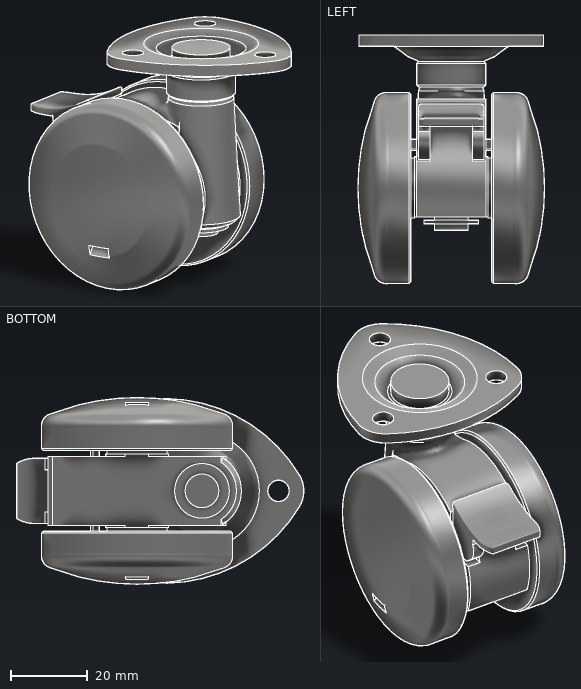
import cadquery as cq
import math


total_height = 65.0
wheel_radius = 25.0
wheel_x = -17.0
wheel_z = wheel_radius

plate_thickness = 3.0
plate_bottom = total_height - plate_thickness
corner_radius = 8.0
corner_distance = 18.65
side_distance = 21.5
hole_circle_radius = 20.0
hole_diameter = 5.5
dish_top_radius = 15.0
dish_bend_radius = 11.75
dish_bend_depth = 1.2
dish_bend_z = total_height - dish_bend_depth
dish_floor_radius = 8.4
dish_floor_z = 60.8
underside_bend_radius = 11.3
underside_bend_z = 59.3
collar_radius = 9.05
collar_top = 58.1
collar_bottom = 51.4
collar_chamfer = 0.5

stem_head_radius = 7.6
stem_recess = 1.0
stem_top = total_height - stem_recess
shaft_radius = 4.4
stem_bottom = 13.9
ring_radius = 7.15
ring_bottom = 15.65
ring_thickness = 0.95

housing_half_width = 9.05
barrel_radius = 23.3
housing_bottom = 17.4
neck_radius = 8.6
neck_top_radius = 8.2
neck_taper_height = 1.0
neck_taper_bottom = collar_bottom - neck_taper_height
boss_foot_radius = 10.3
boss_foot_chamfer = 1.3
boss_blend = 2.6
blend_end_x = -1.0
hub_radius = 8.2
hub_end = 9.6
bar_x = -28.0
bar_z = 36.3
bar_width = 3.1
bar_thickness = 0.74
bar_tilt = 57.0

wheel_inner_y = 10.55
wheel_hub_radius = 7.9
rim_chamfer = 0.5
rim_flat_end_y = 16.4
cone_edge_radius = 22.45
cone_edge_y = 20.2
wheel_outer_y = 24.415
cap_radius = 15.1
cap_edge_y = 22.55
notch_width = 6.0
notch_inner_radius = 12.4
notch_depth = 1.8

lever_tip_x = -48.45
lever_back_x = -29.8
lever_half_width = 8.55
lever_tip_half_width = 7.2
lever_taper_length = 4.3
lever_corner_radius = 1.0
lever_taper_mid = 1.7
lever_taper_mid_inset = 0.5
lever_edge_round = 0.4
tip_top_z = 43.3
tip_bottom_z = 41.1
back_top_z = 47.15
back_bottom_z = 45.3
pedal_top_mid = (-38.0, 43.8)
pedal_ridge = (-30.4, 46.95)
pedal_under_mid = (-35.2, 42.6)
leg_front_x = -40.8
leg_throat = (-40.5, 39.8)
leg_bulge = (-41.0, 37.4)
leg_flank = (-40.0, 34.8)
leg_toe_x = -37.3
leg_overlap = 0.5
leg_inner_y = 5.5
leg_bottom_z = 32.5
leg_back_x = -30.6
slot_floor_z = 32.0
slot_back_x = -30.3


def polar(radius, degrees):
    """Point in the XY plane at a distance and direction from the stem axis."""
    angle = math.radians(degrees)
    return (radius * math.cos(angle), radius * math.sin(angle))


def plate_outline():
    """Three round corners joined by three bowed sides, all tangent."""
    gap = side_distance - corner_radius
    side_centre = (gap**2 - corner_distance**2) / (corner_distance - 2 * gap)
    side_radius = side_distance + side_centre
    side_half_angle = math.degrees(
        math.asin(corner_distance * math.sin(math.pi / 3) / (side_radius - corner_radius))
    )
    corner_half_angle = 60 - side_half_angle

    def corner_point(direction, offset):
        centre = polar(corner_distance, direction)
        rim = polar(corner_radius, direction + offset)
        return (centre[0] + rim[0], centre[1] + rim[1])

    outline = cq.Workplane("XY", origin=(0, 0, plate_bottom))
    outline = outline.moveTo(*corner_point(0, -corner_half_angle))
    for direction in (0, 120, 240):
        outline = outline.threePointArc(
            corner_point(direction, 0), corner_point(direction, corner_half_angle)
        )
        outline = outline.threePointArc(
            polar(side_distance, direction + 60),
            corner_point(direction + 120, -corner_half_angle),
        )
    return outline.close()


def make_plate():
    """Plate with a sunken dish and the collar below it."""
    flange = plate_outline().extrude(plate_thickness)
    dish = (
        cq.Workplane("XZ")
        .moveTo(0, plate_bottom)
        .lineTo(dish_top_radius, plate_bottom)
        .lineTo(underside_bend_radius, underside_bend_z)
        .lineTo(collar_radius - collar_chamfer, collar_top)
        .lineTo(collar_radius, collar_top - collar_chamfer)
        .lineTo(collar_radius, collar_bottom + collar_chamfer)
        .lineTo(collar_radius - collar_chamfer, collar_bottom)
        .lineTo(0, collar_bottom)
        .close()
        .revolve(360, (0, 0, 0), (0, 1, 0))
    )
    hollow = (
        cq.Workplane("XZ")
        .moveTo(0, total_height)
        .lineTo(dish_top_radius, total_height)
        .lineTo(dish_bend_radius, dish_bend_z)
        .lineTo(dish_floor_radius, dish_floor_z)
        .lineTo(shaft_radius, dish_floor_z)
        .lineTo(shaft_radius, collar_bottom)
        .lineTo(0, collar_bottom)
        .close()
        .revolve(360, (0, 0, 0), (0, 1, 0))
    )
    holes = (
        cq.Workplane("XY", origin=(0, 0, plate_bottom))
        .polarArray(hole_circle_radius, 0, 360, 3)
        .circle(hole_diameter / 2)
        .extrude(plate_thickness)
    )
    return flange.union(dish).cut(hollow).cut(holes)


def make_stem():
    """Rivet-like swivel pin with a retaining ring near its lower end."""
    head = cq.Workplane("XY", origin=(0, 0, dish_floor_z)).circle(stem_head_radius)
    shaft = cq.Workplane("XY", origin=(0, 0, stem_bottom)).circle(shaft_radius)
    ring = cq.Workplane("XY", origin=(0, 0, ring_bottom)).circle(ring_radius)
    return (
        head.extrude(stem_top - dish_floor_z)
        .union(shaft.extrude(dish_floor_z - stem_bottom))
        .union(ring.extrude(ring_thickness))
    )


def across(half_width, x, z):
    """Workplane facing -Y, set so an extrusion of twice half_width is centred on Y = 0."""
    return cq.Workplane("XZ", origin=(x, half_width, z))


def make_housing():
    """Barrel between the wheels, with the boss that carries the stem."""
    rough_half_width = 1.5 * housing_half_width
    barrel = across(rough_half_width, wheel_x, wheel_z).circle(barrel_radius)
    barrel = barrel.extrude(2 * rough_half_width)
    boss = (
        cq.Workplane("XZ")
        .moveTo(0, collar_bottom)
        .lineTo(neck_top_radius, collar_bottom)
        .lineTo(neck_radius, neck_taper_bottom)
        .lineTo(boss_foot_radius, housing_bottom + boss_foot_chamfer)
        .lineTo(boss_foot_radius - boss_foot_chamfer, housing_bottom)
        .lineTo(0, housing_bottom)
        .close()
        .revolve(360, (0, 0, 0), (0, 1, 0))
    )
    body = barrel.union(boss)
    size = 2 * total_height
    rear_half = cq.Workplane("XY").box(size, size, size)
    rear_half = rear_half.translate((blend_end_x - size / 2, 0, wheel_z + size / 2))
    blended = body.intersect(rear_half).edges("%BSPLINE").fillet(boss_blend)

    def trimmed(shape, half_width):
        envelope = cq.Workplane("XY", origin=(0, 0, housing_bottom)).rect(size, 2 * half_width)
        return shape.intersect(envelope.extrude(total_height))

    body = trimmed(body.union(blended), housing_half_width)
    hubs = across(hub_end, wheel_x, wheel_z).circle(hub_radius).extrude(2 * hub_end)
    hubs = trimmed(hubs, hub_end)
    brake_bar = (
        across(wheel_inner_y, bar_x, bar_z)
        .transformed(rotate=(0, 0, bar_tilt))
        .rect(bar_width, bar_thickness)
        .extrude(2 * wheel_inner_y)
    )
    stem_bore = cq.Workplane("XY").circle(shaft_radius).extrude(total_height)
    body = body.union(hubs).union(brake_bar).cut(stem_bore)

    slot_length = barrel_radius
    slot_width = housing_half_width - leg_inner_y
    slot_x = slot_back_x - slot_length / 2
    slot_y = leg_inner_y + slot_width / 2
    for side in (-1, 1):
        slot = cq.Workplane("XY", origin=(slot_x, side * slot_y, slot_floor_z))
        slot = slot.rect(slot_length, slot_width).extrude(barrel_radius)
        body = body.cut(slot)
    return body


def make_wheel(side):
    """Domed wheel; side is -1 or +1 along Y."""
    cap_rise = wheel_outer_y - cap_edge_y
    cap_sphere = (cap_radius**2 + cap_rise**2) / (2 * cap_rise)
    cap_mid_y = wheel_outer_y - cap_sphere + math.sqrt(cap_sphere**2 - (cap_radius / 2) ** 2)
    shoulder_turn = math.sqrt(0.5)
    shoulder = (
        cone_edge_radius + (wheel_radius - cone_edge_radius) * shoulder_turn,
        rim_flat_end_y + (cone_edge_y - rim_flat_end_y) * shoulder_turn,
    )
    wheel = (
        cq.Workplane("XY")
        .moveTo(0, hub_end)
        .lineTo(wheel_hub_radius, hub_end)
        .lineTo(wheel_hub_radius, wheel_inner_y)
        .lineTo(wheel_radius - rim_chamfer, wheel_inner_y)
        .lineTo(wheel_radius, wheel_inner_y + rim_chamfer)
        .lineTo(wheel_radius, rim_flat_end_y)
        .threePointArc(shoulder, (cone_edge_radius, cone_edge_y))
        .lineTo(cap_radius, cap_edge_y)
        .threePointArc((cap_radius / 2, cap_mid_y), (0, wheel_outer_y))
        .close()
        .revolve(360, (0, 0, 0), (0, 1, 0))
    )
    notch = (
        cq.Workplane("YZ", origin=(-notch_width / 2, 0, 0))
        .moveTo(cap_edge_y, -cap_radius)
        .lineTo(cap_edge_y - notch_depth, -notch_inner_radius)
        .lineTo(wheel_outer_y, -notch_inner_radius)
        .lineTo(wheel_outer_y, -cap_radius)
        .close()
        .extrude(notch_width)
    )
    wheel = wheel.cut(notch)
    if side < 0:
        wheel = wheel.mirror("XZ")
    return wheel.translate((wheel_x, 0, wheel_z))


def pedal_profile():
    """Side profile of the pedal, from a flat tip curving up to a raised back end."""
    return (
        across(lever_half_width, 0, 0)
        .moveTo(lever_tip_x, tip_bottom_z)
        .lineTo(lever_tip_x, tip_top_z)
        .threePointArc(pedal_top_mid, pedal_ridge)
        .lineTo(lever_back_x, back_top_z)
        .lineTo(lever_back_x, back_bottom_z)
        .threePointArc(pedal_under_mid, (leg_front_x, tip_bottom_z))
        .close()
    )


def pedal_outline():
    """Outline of the pedal from above, narrowing toward the tip."""
    taper_x = lever_tip_x + lever_taper_length
    mid_x = lever_tip_x + lever_taper_mid
    mid_y = lever_half_width - lever_taper_mid_inset
    return (
        cq.Workplane("XY")
        .moveTo(lever_tip_x, -lever_tip_half_width)
        .threePointArc((mid_x, -mid_y), (taper_x, -lever_half_width))
        .lineTo(lever_back_x, -lever_half_width)
        .lineTo(lever_back_x, lever_half_width)
        .lineTo(taper_x, lever_half_width)
        .threePointArc((mid_x, mid_y), (lever_tip_x, lever_tip_half_width))
        .close()
    )


def lever_leg(outer_y):
    """Leg extruded toward -Y from outer_y; its top is buried in the pedal."""
    return (
        cq.Workplane("XZ", origin=(0, outer_y, 0))
        .moveTo(leg_front_x, tip_bottom_z + leg_overlap)
        .lineTo(leg_front_x, tip_bottom_z)
        .lineTo(*leg_throat)
        .threePointArc(leg_bulge, leg_flank)
        .tangentArcPoint((leg_toe_x, leg_bottom_z), relative=False)
        .lineTo(leg_back_x, leg_bottom_z)
        .lineTo(leg_back_x, back_bottom_z)
        .threePointArc(
            (pedal_under_mid[0], pedal_under_mid[1] + leg_overlap),
            (leg_front_x, tip_bottom_z + leg_overlap),
        )
        .close()
        .extrude(lever_half_width - leg_inner_y)
    )


def make_lever():
    """Curved pedal on two legs that drop into the housing recesses."""
    outline = pedal_outline().extrude(total_height).edges("|Z and >X").fillet(lever_corner_radius)
    pedal = pedal_profile().extrude(2 * lever_half_width).intersect(outline)
    pedal = pedal.edges().fillet(lever_edge_round)
    return pedal.union(lever_leg(lever_half_width)).union(lever_leg(-leg_inner_y))


plate = make_plate()
stem = make_stem()
housing = make_housing()
lever = make_lever()
wheels = [make_wheel(side) for side in (-1, 1)]

result = cq.Compound.makeCompound(
    [plate.val(), stem.val(), housing.val(), lever.val(), *[wheel.val() for wheel in wheels]]
)